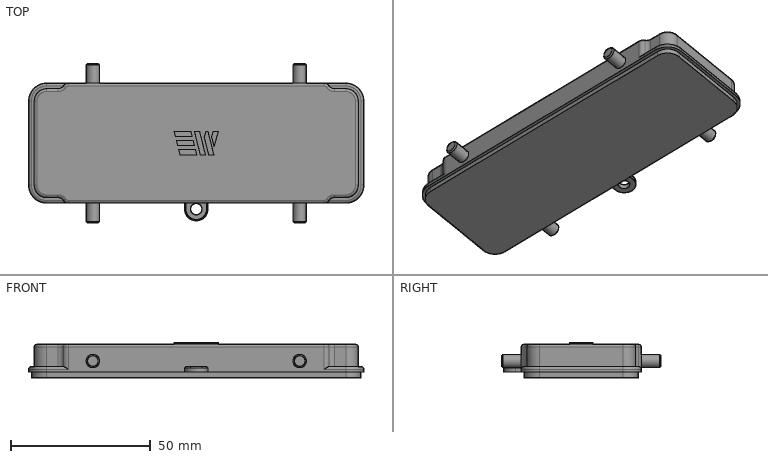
import cadquery as cq
import math

flange_length = 120.0
flange_width = 43.0
flange_corner_radius = 6.5
flange_bottom = 2.0
flange_top = 4.0
body_top = 12.0
edge_radius = 1.0

rim_inset = 1.1

body_inset = 2.0
recess_end_x = 49.4
recess_curve_radius = 2.2

pin_diameter = 4.8
pin_span = 57.0
pin_x = 37.0
pin_z = 6.0
pin_chamfer = 0.5

lug_radius = 4.2
lug_center_y = -23.6
lug_hole_diameter = 4.0
lug_chamfer = 0.5

mark_height = 0.6
mark_half_depth = 4.2
mark_slant = 0.25
bar_length = 6.0
bar_depth = 1.85
bar_left_x = -7.9
bar_count = 3
stroke_left_x = -0.65
stroke_width = 1.85
second_left_x = 3.5
second_right_x = 4.2
joint_y = 2.2
last_right_x = 7.9
last_joint_x = 5.5
last_tip_x = 6.4
last_tip_y = -1.2

half_width = flange_width / 2


def rounded_plate(inset, bottom, top):
    """Plate with the flange outline moved inward by the inset."""
    plate = cq.Workplane("XY").workplane(offset=bottom)
    plate = plate.rect(flange_length - 2 * inset, flange_width - 2 * inset)
    return plate.extrude(top - bottom).edges("|Z").fillet(flange_corner_radius - inset)


def make_flange():
    return rounded_plate(0, flange_bottom, flange_top).faces(">Z").edges().fillet(edge_radius)


def mirrored(point):
    """Matching point on the -X half."""
    return (-point[0], point[1])


def make_side_bulge():
    """Middle stretch of the body, blending into the recessed corners by S-curves."""
    recess_y = half_width - body_inset
    turn = math.acos(1 - body_inset / (2 * recess_curve_radius))
    arc_run = recess_curve_radius * math.sin(turn)
    half_turn_run = recess_curve_radius * math.sin(turn / 2)
    half_turn_rise = recess_curve_radius * (1 - math.cos(turn / 2))
    crest_x = recess_end_x - 2 * arc_run
    middle = (recess_end_x - arc_run, half_width - body_inset / 2)
    concave_middle = (recess_end_x - half_turn_run, recess_y + half_turn_rise)
    convex_middle = (crest_x + half_turn_run, half_width - half_turn_rise)

    outline = (
        cq.Workplane("XY")
        .moveTo(-recess_end_x, 0)
        .lineTo(-recess_end_x, recess_y)
        .threePointArc(mirrored(concave_middle), mirrored(middle))
        .threePointArc(mirrored(convex_middle), (-crest_x, half_width))
        .lineTo(crest_x, half_width)
        .threePointArc(convex_middle, middle)
        .threePointArc(concave_middle, (recess_end_x, recess_y))
        .lineTo(recess_end_x, 0)
        .mirrorX()
    )
    return outline.extrude(body_top - flange_bottom).translate((0, 0, flange_bottom))


def make_body():
    body = rounded_plate(body_inset, flange_bottom, body_top).union(make_side_bulge())
    return body.faces(">Z").edges().fillet(edge_radius)


def make_pin(x):
    pin = cq.Workplane("XZ").center(x, pin_z).circle(pin_diameter / 2)
    return pin.extrude(pin_span / 2, both=True).faces("<Y or >Y").edges().chamfer(pin_chamfer)


def make_lug():
    """Rounded tab that reaches back into the flange."""
    height = flange_top - flange_bottom
    plane = cq.Workplane("XY").workplane(offset=flange_bottom)
    tab_length = -lug_center_y
    tab = plane.center(0, -tab_length / 2).rect(2 * lug_radius, tab_length).extrude(height)
    eye = plane.center(0, lug_center_y).circle(lug_radius).extrude(height)
    return tab.union(eye).faces(">Z").edges().chamfer(lug_chamfer)


def make_lug_hole():
    hole = cq.Workplane("XY").center(0, lug_center_y).circle(lug_hole_diameter / 2)
    return hole.extrude(flange_top)


def raised(points):
    """Raised patch on the top face."""
    plane = cq.Workplane("XY").workplane(offset=body_top)
    return plane.polyline(points).close().extrude(mark_height)


def slanted_bar(left_x, top_y, bottom_y, length):
    """Raised parallelogram whose ends lean toward +X going down."""
    shift = mark_slant * (top_y - bottom_y)
    corners = [
        (left_x, top_y),
        (left_x + length, top_y),
        (left_x + length + shift, bottom_y),
        (left_x + shift, bottom_y),
    ]
    return raised(corners)


def make_mark():
    pitch = (2 * mark_half_depth - bar_depth) / (bar_count - 1)
    mark = slanted_bar(stroke_left_x, mark_half_depth, -mark_half_depth, stroke_width)
    for row in range(bar_count):
        drop = row * pitch
        top_y = mark_half_depth - drop
        mark = mark.union(slanted_bar(bar_left_x + mark_slant * drop, top_y, top_y - bar_depth, bar_length))
    second_stroke = [
        (second_left_x, mark_half_depth),
        (second_right_x, mark_half_depth),
        (second_right_x + mark_slant * 2 * mark_half_depth, -mark_half_depth),
        (second_right_x + mark_slant * 2 * mark_half_depth - stroke_width, -mark_half_depth),
        (second_right_x + mark_slant * (mark_half_depth - joint_y) - stroke_width, joint_y),
    ]
    last_stroke = [
        (last_right_x - stroke_width, mark_half_depth),
        (last_right_x, mark_half_depth),
        (last_tip_x, last_tip_y),
        (last_joint_x, joint_y),
    ]
    return mark.union(raised(second_stroke)).union(raised(last_stroke))


result = rounded_plate(rim_inset, 0, flange_bottom).union(make_flange()).union(make_body())
for x in (-pin_x, pin_x):
    result = result.union(make_pin(x))
result = result.union(make_lug())
result = result.cut(make_lug_hole())
result = result.union(make_mark())